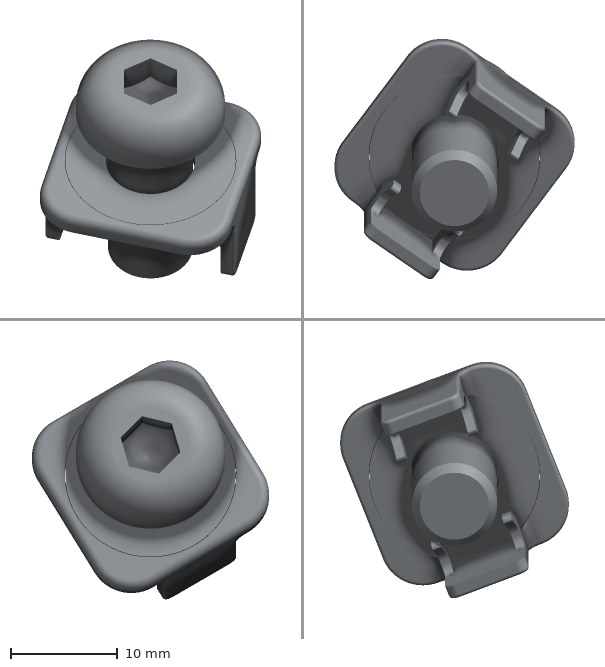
import cadquery as cq
import math


screw_dia = 8.0
screw_tip_z = -11.3
overall_height = 24.4
head_dia = 14.0
head_height = 4.4
head_rim_height = 1.07
neck_radius = 0.4
tip_chamfer = 0.75
head_top_z = screw_tip_z + overall_height
head_bottom_z = head_top_z - head_height

socket_flats = 5.0
socket_depth = 2.6
socket_angle = 45
socket_cone_angle = 120
socket_corners = socket_flats / math.cos(math.radians(30))

plate_side = 18.4
plate_thickness = 1.83
plate_corner_radius = 4.0
plate_top_round = 0.8
outer_edge_round = 0.32
plate_hole_dia = 16.1
plate_half = plate_side / 2

washer_dia = 16.0
washer_hole_dia = 8.4

leg_width = 8.0
leg_length = 8.2
leg_thickness = 1.32
leg_bottom_radius = 1.0
leg_flare_radius = 1.0
arch_top_z = -3.05
arch_radius = 1.0
hook_slope = 60
hook_top_x = 6.37
hook_tip_x = 4.2
hook_tip_z = -5.25
hook_arm_thickness = 1.2
hook_tip_round = 0.5
hook_width = 0.85


def make_screw():
    shank_radius = screw_dia / 2
    head_radius = head_dia / 2
    rim_top_z = head_bottom_z + head_rim_height
    dome_radius = head_height - head_rim_height
    dome_center_x = head_radius - dome_radius
    dome_mid_offset = dome_radius * math.sin(math.radians(45))
    neck_mid_offset = neck_radius * (1 - math.sin(math.radians(45)))
    body = (
        cq.Workplane("XZ")
        .moveTo(0, screw_tip_z)
        .lineTo(shank_radius - tip_chamfer, screw_tip_z)
        .lineTo(shank_radius, screw_tip_z + tip_chamfer)
        .lineTo(shank_radius, head_bottom_z - neck_radius)
        .threePointArc(
            (shank_radius + neck_mid_offset, head_bottom_z - neck_mid_offset),
            (shank_radius + neck_radius, head_bottom_z),
        )
        .lineTo(head_radius, head_bottom_z)
        .lineTo(head_radius, rim_top_z)
        .threePointArc(
            (dome_center_x + dome_mid_offset, rim_top_z + dome_mid_offset),
            (dome_center_x, head_top_z),
        )
        .lineTo(0, head_top_z)
        .close()
        .revolve(360, (0, 0, 0), (0, 1, 0))
    )
    return body.cut(make_socket())


def make_socket():
    """Hexagonal prism whose lower end runs out in a drill cone."""
    corner_radius = socket_corners / 2
    cone_height = corner_radius / math.tan(math.radians(socket_cone_angle / 2))
    cone_base_z = head_top_z - socket_depth
    hexagon = (
        cq.Workplane("XY", origin=(0, 0, cone_base_z - cone_height))
        .transformed(rotate=(0, 0, socket_angle))
        .polygon(6, socket_corners)
        .extrude(socket_depth + cone_height)
    )
    drill = (
        cq.Workplane("XZ")
        .moveTo(0, cone_base_z - cone_height)
        .lineTo(corner_radius, cone_base_z)
        .lineTo(corner_radius, head_top_z)
        .lineTo(0, head_top_z)
        .close()
        .revolve(360, (0, 0, 0), (0, 1, 0))
    )
    return hexagon.intersect(drill)


def make_washer():
    return (
        cq.Workplane("XY")
        .circle(washer_dia / 2)
        .circle(washer_hole_dia / 2)
        .extrude(plate_thickness)
    )


def make_plate():
    return (
        cq.Workplane("XY")
        .rect(plate_side, plate_side)
        .extrude(plate_thickness)
        .edges("|Z")
        .fillet(plate_corner_radius)
        .faces(">Z")
        .edges()
        .fillet(plate_top_round)
    )


def make_hook_prism():
    """Leg and hook outline in XZ, on the -X side, drawn out across the flared width."""
    slope = math.tan(math.radians(hook_slope))
    arm_run = hook_arm_thickness / math.sin(math.radians(hook_slope))
    arm_top_x = -hook_top_x
    tip_x = -hook_tip_x
    leg_inner_x = leg_thickness - plate_half
    tip_top_z = -(tip_x - arm_top_x) * slope
    arm_under_x = arm_top_x - arm_run
    arch_end_x = arm_under_x - arch_top_z / slope
    outline = [
        (-plate_half, 0),
        (arm_top_x, 0),
        (tip_x, tip_top_z),
        (tip_x, hook_tip_z),
        (arm_under_x - hook_tip_z / slope, hook_tip_z),
        (arch_end_x, arch_top_z),
        (leg_inner_x, arch_top_z),
        (leg_inner_x, -leg_length),
        (-plate_half, -leg_length),
    ]
    tip_corner = (tip_x, 0, hook_tip_z)
    arch_corners = [(arch_end_x, 0, arch_top_z), (leg_inner_x, 0, arch_top_z)]
    prism = cq.Workplane("XZ").polyline(outline).close().extrude(plate_half, both=True)
    for corner in arch_corners:
        prism = prism.edges(cq.selectors.NearestToPointSelector(corner)).fillet(arch_radius)
    return prism.edges(cq.selectors.NearestToPointSelector(tip_corner)).fillet(hook_tip_round)


def make_leg_prism():
    """Leg outline in YZ, flared where it meets the plate and rounded at the bottom."""
    half_width = leg_width / 2
    flare_half = half_width + leg_flare_radius
    return (
        cq.Workplane("YZ")
        .moveTo(-flare_half, 0)
        .radiusArc((-half_width, -leg_flare_radius), leg_flare_radius)
        .lineTo(-half_width, leg_bottom_radius - leg_length)
        .radiusArc((leg_bottom_radius - half_width, -leg_length), -leg_bottom_radius)
        .lineTo(half_width - leg_bottom_radius, -leg_length)
        .radiusArc((half_width, leg_bottom_radius - leg_length), -leg_bottom_radius)
        .lineTo(half_width, -leg_flare_radius)
        .radiusArc((flare_half, 0), leg_flare_radius)
        .close()
        .extrude(-plate_half)
    )


def make_hook_gap():
    """Open space between the two hooks, in front of the inner face of the leg."""
    return cq.Workplane("XY").box(
        plate_half - leg_thickness,
        leg_width - 2 * hook_width,
        leg_length,
        centered=(False, True, False),
    ).translate((leg_thickness - plate_half, 0, -leg_length))


def make_leg():
    """Leg with its hooks on the -X side; the flares stop at the edge of the plate hole."""
    hook_zone = cq.Workplane("XY").box(plate_side, leg_width, 2 * leg_length)
    flare_trim = (
        cq.Workplane("XY")
        .circle(plate_hole_dia / 2)
        .extrude(-leg_length)
        .cut(hook_zone)
    )
    leg = make_leg_prism().intersect(make_hook_prism())
    return leg.cut(flare_trim).cut(make_hook_gap())


def make_clip():
    hole = cq.Workplane("XY").circle(plate_hole_dia / 2).extrude(plate_thickness)
    clip = make_plate().cut(hole)
    leg = make_leg()
    for angle in (0, 180):
        clip = clip.union(leg.rotate((0, 0, 0), (0, 0, 1), angle))
    chain_start = cq.selectors.NearestToPointSelector((0, -plate_half, 0))
    return clip.edges(chain_start).fillet(outer_edge_round)


screw = make_screw()
washer = make_washer()
clip = make_clip()

result = cq.Compound.makeCompound([screw.val(), washer.val(), clip.val()])